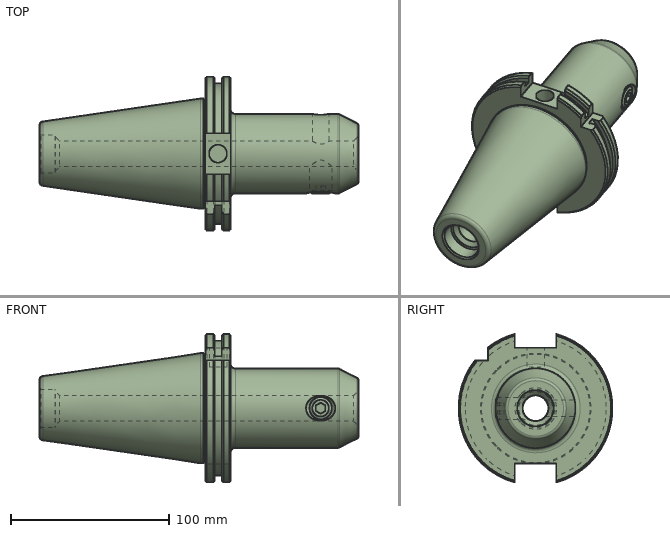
import cadquery as cq
import math

total_length = 201.8
taper_length = 101.7
nose_end = total_length - taper_length

gauge_radius = 35.0
taper_ratio = 7 / 24
taper_slope = taper_ratio / 2
tail_radius = gauge_radius - taper_slope * taper_length
tail_rounding = 2.6
collar_length = 1.8
relief_radius = 34.3

flange_diameter = 97.5
flange_radius = flange_diameter / 2
flange_front = 3.2
flange_back = 19.2
flange_width = flange_back - flange_front
flange_middle = (flange_front + flange_back) / 2
flange_chamfer = 1.0
groove_radius = 44.5
groove_front = 9.3
groove_back = 13.5
groove_chamfer = 1.2

slot_width = 26.0
upper_slot_floor = 38.3
lower_slot_floor = 35.1
notch_side = 30.0
notch_floor = 30.3
coolant_hole_diameter = 11.3
coolant_hole_depth = 12.1

nose_radius = 25.2
neck_fillet = 2.8
cone_length = 12.7
tip_radius = 18.8
shoulder_rounding = 1.6
tip_rounding = 2.0

bore_radius = 8.0
bore_mouth_radius = 11.5
entry_chamfer = 1.0
counterbore_radius = 12.1
counterbore_depth = 9.7
step_radius = 10.7
step_length = 0.5

screw_x = 76.0
screw_radius = 7.0
screw_face_radius = 5.2
screw_chamfer_depth = 1.0
screw_socket_width = 6.0
screw_socket_depth = 5.0
screw_outer_end = -nose_radius
screw_inner_end = -bore_radius
sink_radius = 9.3
opposite_hole_radius = 5.2


def revolve_about_x(profile):
    """Turn an outline drawn in XY (Y as radius) around the X axis."""
    return profile.close().revolve(360, (0, 0, 0), (1, 0, 0))


def make_taper():
    """Taper shank with its rounded small end, the collar and the relief up to the flange."""
    taper = revolve_about_x(
        cq.Workplane("XY")
        .moveTo(-taper_length, 0)
        .lineTo(-taper_length, tail_radius)
        .lineTo(0, gauge_radius)
        .lineTo(collar_length, gauge_radius)
        .lineTo(collar_length + gauge_radius - relief_radius, relief_radius)
        .lineTo(flange_front, relief_radius)
        .lineTo(flange_front, 0)
    )
    return taper.faces("<X").edges().fillet(tail_rounding)


def make_flange():
    """Flange disc with chamfered rims and the gripper groove."""
    disc = (
        cq.Workplane("YZ", origin=(flange_front, 0, 0))
        .circle(flange_radius)
        .extrude(flange_width)
        .edges()
        .chamfer(flange_chamfer)
    )
    chamfer_floor = flange_radius - groove_chamfer
    groove = revolve_about_x(
        cq.Workplane("XY")
        .moveTo(groove_front - groove_chamfer, flange_radius)
        .lineTo(groove_front, chamfer_floor)
        .lineTo(groove_front, groove_radius)
        .lineTo(groove_back, groove_radius)
        .lineTo(groove_back, chamfer_floor)
        .lineTo(groove_back + groove_chamfer, flange_radius)
    )
    return disc.cut(groove)


def flange_cutter(y_min, y_max, z_min, z_max):
    """Block across the whole flange width."""
    return (
        cq.Workplane("XY", origin=(flange_front, y_min, z_min))
        .box(flange_width, y_max - y_min, z_max - z_min, centered=False)
    )


def make_flange_cuts():
    """Two drive slots, the orientation notch and the blind hole in the upper slot floor."""
    half_slot = slot_width / 2
    upper_slot = flange_cutter(-half_slot, half_slot, upper_slot_floor, flange_radius)
    lower_slot = flange_cutter(-half_slot, half_slot, -flange_radius, -lower_slot_floor)
    notch = flange_cutter(-flange_radius, -notch_side, notch_floor, flange_radius)
    coolant_hole = (
        cq.Workplane("XY", origin=(flange_middle, 0, upper_slot_floor))
        .circle(coolant_hole_diameter / 2)
        .extrude(-coolant_hole_depth)
    )
    return upper_slot.union(lower_slot).union(notch).union(coolant_hole)


def make_nose():
    """Cylindrical nose with a concave fillet at the flange and a rounded conical end."""
    cone_start = nose_end - cone_length
    nose = revolve_about_x(
        cq.Workplane("XY")
        .moveTo(flange_front, 0)
        .lineTo(flange_front, nose_radius + neck_fillet)
        .lineTo(flange_back, nose_radius + neck_fillet)
        .radiusArc((flange_back + neck_fillet, nose_radius), -neck_fillet)
        .lineTo(cone_start, nose_radius)
        .lineTo(nose_end, tip_radius)
        .lineTo(nose_end, 0)
    )
    margin = 0.2
    reach = nose_radius + margin
    shoulder_edge = cq.selectors.BoxSelector(
        (cone_start - margin, -reach, -reach),
        (cone_start + margin, reach, reach),
    )
    nose = nose.edges(shoulder_edge).fillet(shoulder_rounding)
    return nose.faces(">X").edges().fillet(tip_rounding)


def make_bore():
    """Through bore: chamfered counterbore and conical steps at the taper end, flared nose end."""
    entry = -taper_length
    step_start = entry + counterbore_depth
    cone_start = step_start + step_length
    return revolve_about_x(
        cq.Workplane("XY")
        .moveTo(entry, 0)
        .lineTo(entry, counterbore_radius + entry_chamfer)
        .lineTo(entry + entry_chamfer, counterbore_radius)
        .lineTo(step_start, counterbore_radius)
        .lineTo(cone_start, step_radius)
        .lineTo(cone_start + step_radius - bore_radius, bore_radius)
        .lineTo(nose_end - (bore_mouth_radius - bore_radius), bore_radius)
        .lineTo(nose_end, bore_mouth_radius)
        .lineTo(nose_end, 0)
    )


def radial_rod(radius, y_start, y_end):
    """Cylinder along Y through the screw position."""
    return (
        cq.Workplane("XZ", origin=(screw_x, y_start, 0))
        .circle(radius)
        .extrude(y_start - y_end)
    )


def make_screw_hole():
    """Countersunk screw hole into the bore and the smaller hole in the opposite wall."""
    sink_depth = sink_radius - screw_radius
    sink_cone = cq.Solid.makeCone(
        sink_radius,
        screw_radius,
        sink_depth,
        pnt=cq.Vector(screw_x, -nose_radius, 0),
        dir=cq.Vector(0, 1, 0),
    )
    screw_hole = radial_rod(screw_radius, -nose_radius, 0)
    opposite_hole = radial_rod(opposite_hole_radius, 0, nose_radius)
    return screw_hole.union(cq.Workplane(sink_cone)).union(opposite_hole)


def make_holder():
    """Taper, flange and nose joined in one solid, with all slots and holes cut."""
    return (
        make_taper()
        .union(make_flange())
        .union(make_nose())
        .cut(make_flange_cuts())
        .cut(make_bore())
        .cut(make_screw_hole())
    )


def make_screw():
    """Headless clamping screw with a chamfered outer end and a hexagon socket."""
    screw = radial_rod(screw_radius, screw_outer_end, screw_inner_end)
    screw = screw.faces("<Y").edges().chamfer(screw_chamfer_depth, screw_radius - screw_face_radius)
    half_corner_angle = math.pi / 6
    socket_corners = screw_socket_width / math.cos(half_corner_angle)
    socket = (
        cq.Workplane("XZ", origin=(screw_x, screw_outer_end, 0))
        .transformed(rotate=(0, 0, math.degrees(half_corner_angle)))
        .polygon(6, socket_corners)
        .extrude(-screw_socket_depth)
    )
    return screw.cut(socket)


holder = make_holder()
screw = make_screw()

result = cq.Compound.makeCompound([holder.val(), screw.val()])